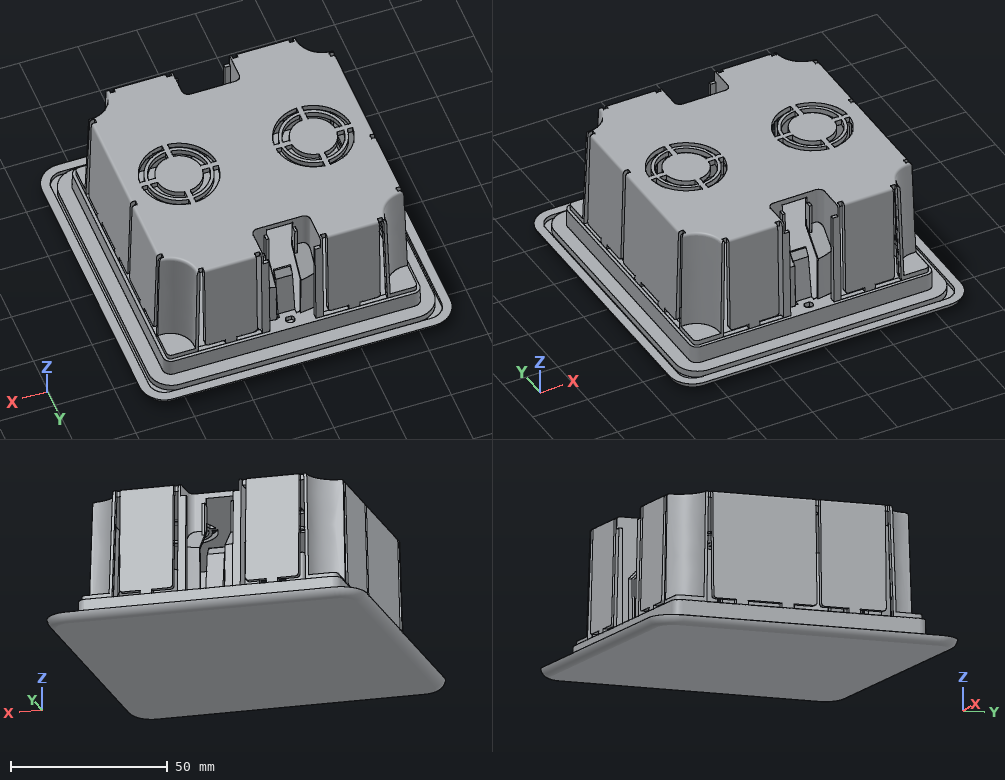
import cadquery as cq
import math

DRAFT = 1.5
DRAFT_SLOPE = math.tan(math.radians(DRAFT))
OVERSHOOT = 10.6

LID_SIZE = 106.0
LID_HEIGHT = 3.0
LID_CORNER = 8.5
LID_FLOOR = 1.5
LID_RIM = 3.2
LID_EDGE = 3.0
LID_EDGE_BULGE = 0.69

FLANGE_SIZE = 97.3
FLANGE_CORNER = 8.0
FLANGE_TOP = 3.8
COLLAR_SIZE = 87.8
COLLAR_CORNER = 2.9
COLLAR_TOP = 9.9
COLLAR_WALL = 1.7
HOUSING_HALF = 42.6
HOUSING_CORNER = 1.5
BOX_TOP = 46.5
TOP_FILLET = 1.1
WALL = 1.7
SHELL = 0.69
CAVITY_TOP = 44.6

SCALLOP_FLOOR = 11.6
SCALLOP_INNER = 33.2
SCALLOP_RADIUS = 8.1
SCALLOP_BLOCK = 31.8

PANEL_BOTTOM = 11.6
PANEL_CORNER = 1.1
GAP_FLOOR = 10.0
PANEL_OUTER = 29.8
PANEL_INNER = 12.1
GAP_DEPTH_LINE = HOUSING_HALF - (BOX_TOP - COLLAR_TOP) * DRAFT_SLOPE - WALL
GAP_OUTER_BASE = 32.2
SIDE_SPLIT = (5.8, 7.4)

RECESS_HALF = 9.8
RECESS_BACK = 30.5
RECESS_CORNER = 2.1
SHELL_CORNER = 0.8
APRON_APEX = 38.9
APRON_RADIUS = 42.4
RAMP_SUM = 64.2
PILLAR_INNER = 7.8
PILLAR_BACK = 40.6
PILLAR_TOP = 42.4
WINDOW_HALF_BASE = 4.0
WINDOW_HALF_TOP = 4.5
RIB_WIDTH = 1.0
RIB_FRONT = 32.4
TAB_HALF = 2.9
SCREW_HOLE_Y = 40.1
SCREW_HOLE_RADIUS = 1.5

KNOCKOUT_X = 22.9
KNOCKOUT_RINGS = ((11.2, 13.0), (7.7, 10.1))
KNOCKOUT_BRIDGE = 1.9


def block(x0, x1, y0, y1, z0, z1):
    return cq.Workplane("XY").box(x1 - x0, y1 - y0, z1 - z0, centered=False).translate((x0, y0, z0))


def rounded_slab(size, corner, z0, z1, taper=0.0):
    outline = cq.Sketch().rect(size, size).vertices().fillet(corner)
    return cq.Workplane("XY", origin=(0, 0, z0)).placeSketch(outline).extrude(z1 - z0, taper=taper)


def turned(body, angle):
    return body.rotate((0, 0, 0), (0, 0, 1), angle)


def make_lid():
    half = LID_SIZE / 2
    lid = rounded_slab(LID_SIZE, LID_CORNER, 0, LID_HEIGHT)
    bulge = LID_EDGE_BULGE / math.sqrt(2)
    edge_waste = (
        cq.Workplane("XZ")
        .moveTo(half, LID_EDGE)
        .threePointArc((half - LID_EDGE / 2 + bulge, LID_EDGE / 2 - bulge), (half - LID_EDGE, 0))
        .lineTo(half - LID_EDGE, -1.1)
        .lineTo(half + 1.1, -1.1)
        .lineTo(half + 1.1, LID_EDGE)
        .close()
    )
    rim_path = rounded_slab(LID_SIZE, LID_CORNER, 0, LID_HEIGHT).faces("<Z").wires().val()
    lid = lid.cut(edge_waste.sweep(cq.Workplane(rim_path), transition="round"))
    tray = rounded_slab(LID_SIZE - 2 * LID_RIM, LID_CORNER - LID_RIM, LID_FLOOR, LID_HEIGHT)
    return lid.cut(tray)


def scallops(grow, floor):
    """Four drafted corner voids, enlarged sideways by grow, starting at height floor."""
    inner = SCALLOP_INNER - grow - (floor - SCALLOP_FLOOR) * DRAFT_SLOPE
    radius = SCALLOP_RADIUS + SCALLOP_INNER - inner
    centre = inner + SCALLOP_BLOCK / 2
    voids = None
    for sx in (-1, 1):
        for sy in (-1, 1):
            void = rounded_slab(SCALLOP_BLOCK, radius, floor, BOX_TOP, taper=-DRAFT)
            void = void.translate((sx * centre, sy * centre, 0))
            voids = void if voids is None else voids.union(void)
    return voids


def recess(grow, floor, corner):
    """Void of the +Y cable recess, enlarged inwards by grow, starting at height floor."""
    half = RECESS_HALF + grow
    top = BOX_TOP + OVERSHOOT
    outside = HOUSING_HALF + OVERSHOOT
    void = block(-half, half, RECESS_BACK - grow, outside, floor, top)
    void = void.edges("|Z and <Y").fillet(corner)
    apron = (
        cq.Workplane("XY", origin=(0, APRON_APEX - APRON_RADIUS, floor))
        .circle(APRON_RADIUS - grow)
        .extrude(top)
    )
    ramp_sum = RAMP_SUM - grow * math.sqrt(2)
    below_ramp = (
        cq.Workplane("YZ")
        .polyline([(0, floor), (ramp_sum - floor, floor), (0, ramp_sum)])
        .close()
        .extrude(half, both=True)
    )
    return void.cut(apron.intersect(below_ramp))


def recess_pillars():
    """Space of the two wall strips that stay standing in front of the +Y recess."""
    outside = HOUSING_HALF + OVERSHOOT
    right = block(PILLAR_INNER, RECESS_HALF + SHELL, PILLAR_BACK, outside, COLLAR_TOP, PILLAR_TOP)
    return right.union(right.mirror("YZ"))


def recess_window():
    """Tapered opening through the back, ramp and apron of the +Y recess."""
    return (
        cq.Workplane("XZ")
        .polyline([
            (-WINDOW_HALF_BASE, COLLAR_TOP),
            (WINDOW_HALF_BASE, COLLAR_TOP),
            (WINDOW_HALF_TOP, CAVITY_TOP),
            (-WINDOW_HALF_TOP, CAVITY_TOP),
        ])
        .close()
        .extrude(-(APRON_APEX - RECESS_BACK + 2 * SHELL))
        .translate((0, RECESS_BACK - 2 * SHELL, 0))
    )


def window_ribs():
    """Two upright ribs that stand on the ramp beside the window."""
    back = RECESS_BACK - SHELL
    foot = RAMP_SUM - RIB_FRONT
    profile = [
        (back, RAMP_SUM - back - SHELL * math.sqrt(2)),
        (RIB_FRONT, foot - SHELL * math.sqrt(2)),
        (RIB_FRONT, PILLAR_TOP),
        (back, PILLAR_TOP),
    ]
    rib = cq.Workplane("YZ", origin=(WINDOW_HALF_TOP - 0.1, 0, 0)).polyline(profile).close().extrude(RIB_WIDTH)
    return rib.union(rib.mirror("YZ"))


def latch_tab():
    """Leaning spring tab that rises from the ledge inside the +Y window."""
    profile = [
        (APRON_APEX, COLLAR_TOP - WALL),
        (APRON_APEX, COLLAR_TOP),
        (36.7, COLLAR_TOP),
        (34.6, 24.4),
        (33.0, 26.9),
        (32.4, 26.9),
        (33.3, 24.4),
        (35.5, COLLAR_TOP - WALL),
    ]
    return cq.Workplane("YZ").polyline(profile).close().extrude(TAB_HALF, both=True)


def panel(x0, x1, tab_centres, tab_width):
    """Elevation of one knock-out panel with its break-off tabs, as a plate across the +Y wall."""
    outside = HOUSING_HALF + OVERSHOOT
    plate = block(x0, x1, 0, outside, PANEL_BOTTOM, BOX_TOP + OVERSHOOT)
    plate = plate.edges("|Y and <Z").fillet(PANEL_CORNER)
    for x in tab_centres:
        plate = plate.union(
            block(x - tab_width / 2, x + tab_width / 2, 0, outside, COLLAR_TOP, PANEL_BOTTOM + PANEL_CORNER)
        )
    return plate


def gap_field():
    """Drafted area of the +Y wall between the two scallops, from which the panels are spared."""
    top_half = GAP_OUTER_BASE - (BOX_TOP - GAP_FLOOR) * DRAFT_SLOPE
    return (
        cq.Workplane("XZ")
        .polyline([
            (-GAP_OUTER_BASE, GAP_FLOOR),
            (GAP_OUTER_BASE, GAP_FLOOR),
            (top_half, BOX_TOP),
            (-top_half, BOX_TOP),
        ])
        .close()
        .extrude(-OVERSHOOT)
        .translate((0, GAP_DEPTH_LINE, 0))
    )


def recess_wall_gaps():
    """Gaps around the panels on both sides of the +Y recess."""
    outside = HOUSING_HALF + OVERSHOOT
    half = RECESS_HALF + SHELL
    right_panel = panel(PANEL_INNER, PANEL_OUTER, [21.0], 3.8)
    middle = block(-half, half, 0, outside, COLLAR_TOP, BOX_TOP)
    return gap_field().cut(middle).cut(right_panel).cut(right_panel.mirror("YZ"))


def side_wall_gaps():
    """Gaps around the two unequal panels of the -X wall."""
    narrow = panel(SIDE_SPLIT[1], PANEL_OUTER, [18.9], 4.0)
    wide = panel(-PANEL_OUTER, SIDE_SPLIT[0], [-4.1, -19.9], 4.2)
    return turned(gap_field().cut(narrow).cut(wide), 90)


def knockout(x):
    """Two rings of arc slots through the top."""
    height = BOX_TOP - CAVITY_TOP + 2.1
    slots = cq.Workplane("XY")
    for inner, outer in KNOCKOUT_RINGS:
        slots = slots.union(cq.Workplane("XY").circle(outer).circle(inner).extrude(height))
    span = 2 * KNOCKOUT_RINGS[0][1] + 1.1
    for length, width in ((span, KNOCKOUT_BRIDGE), (KNOCKOUT_BRIDGE, span)):
        slots = slots.cut(cq.Workplane("XY").rect(length, width).extrude(height))
    return slots.translate((x, 0, CAVITY_TOP - 1.1))


def make_cavity():
    """Inside of the box: the drafted hollow less the shells of recesses and scallops."""
    half = HOUSING_HALF - WALL + (COLLAR_TOP - LID_FLOOR) * DRAFT_SLOPE
    cavity = (
        cq.Workplane("XY", origin=(0, 0, LID_FLOOR))
        .rect(2 * half, 2 * half)
        .extrude(CAVITY_TOP - LID_FLOOR, taper=DRAFT)
    )
    cavity = cavity.cut(scallops(SHELL, SCALLOP_FLOOR - WALL))
    shell = recess(SHELL, COLLAR_TOP - WALL, SHELL_CORNER)
    for angle in (0, 180):
        cavity = cavity.cut(turned(shell, angle))
    collar_inside = COLLAR_SIZE - 2 * COLLAR_WALL
    return cavity.union(rounded_slab(collar_inside, HOUSING_CORNER, LID_FLOOR, COLLAR_TOP - WALL, taper=DRAFT))


def make_housing():
    """Solid upper housing: drafted block with scalloped corners and a rounded top edge."""
    drafted = rounded_slab(2 * HOUSING_HALF, HOUSING_CORNER, COLLAR_TOP, BOX_TOP, taper=DRAFT)
    drafted = drafted.faces(">Z").edges().fillet(TOP_FILLET)
    half = HOUSING_HALF + 1.1
    scalloped = block(-half, half, -half, half, COLLAR_TOP, BOX_TOP).cut(scallops(0, SCALLOP_FLOOR))
    inner_edge = HOUSING_HALF - TOP_FILLET
    near_top = cq.selectors.BoxSelector(
        (-inner_edge, -inner_edge, BOX_TOP - TOP_FILLET), (inner_edge, inner_edge, BOX_TOP + TOP_FILLET)
    )
    scalloped = scalloped.edges(near_top).fillet(TOP_FILLET)
    return drafted.intersect(scalloped)


def make_box():
    collar = rounded_slab(COLLAR_SIZE, COLLAR_CORNER, FLANGE_TOP, COLLAR_TOP, taper=DRAFT)
    flange = rounded_slab(FLANGE_SIZE, FLANGE_CORNER, LID_FLOOR, FLANGE_TOP)
    box = flange.union(collar).union(make_housing()).cut(make_cavity())

    void = recess(0, COLLAR_TOP, RECESS_CORNER).cut(recess_pillars())
    screw_hole = (
        cq.Workplane("XY", origin=(0, SCREW_HOLE_Y, LID_FLOOR))
        .circle(SCREW_HOLE_RADIUS)
        .extrude(COLLAR_TOP)
    )
    for angle in (0, 180):
        for cutter in (void, recess_wall_gaps(), screw_hole):
            box = box.cut(turned(cutter, angle))
        box = box.union(turned(window_ribs(), angle))
        box = box.cut(turned(recess_window(), angle))
        box = box.union(turned(latch_tab(), angle))

    left_gaps = side_wall_gaps()
    box = box.cut(left_gaps).cut(left_gaps.mirror("YZ"))
    for x in (-KNOCKOUT_X, KNOCKOUT_X):
        box = box.cut(knockout(x))
    return box


lid = make_lid()
box = make_box()
result = cq.Compound.makeCompound([lid.val(), box.val()])